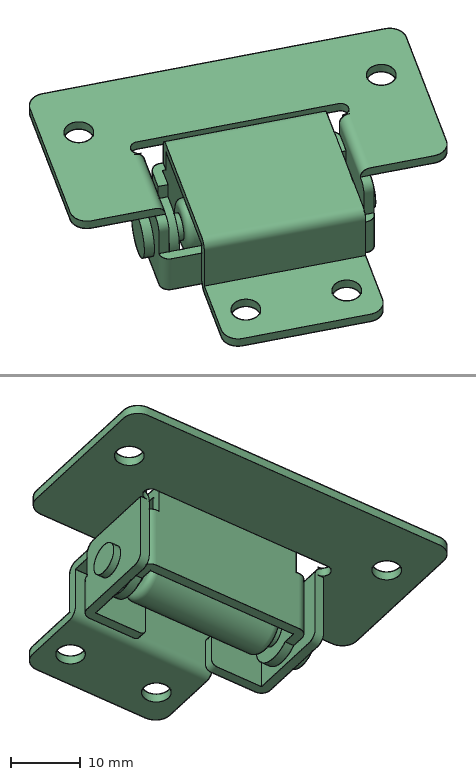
import cadquery as cq
import math

SHEET = 1.5
BEND = SHEET
PLATE_CORNER = 2.5
SCREW_HOLE = 4.25
PIN_X, PIN_Z = 23.05, 4.8
PIN_DIAMETER = 4.0

PLATE_LENGTH, PLATE_WIDTH = 27.0, 56.0
PLATE_TOP = 13.35
PLATE_BOTTOM = PLATE_TOP - SHEET
PLATE_HOLE_X, PLATE_HOLE_Y = 9.0, 22.5
LUG_OUTER_Y = 16.0
LUG_INNER_Y = LUG_OUTER_Y - SHEET
LUG_START_X, LUG_END_X = 15.5, 29.0
LUG_CORNER = 1.5
SLOT_START_X = 13.1
SLOT_HALF_LENGTH = 16.2
SLOT_WIDTH = LUG_START_X - SLOT_START_X
SLOT_CENTER_X = (SLOT_START_X + LUG_START_X) / 2
TAB_TOP = 6.2
TAB_END_Y = 5.75
TAB_CORNER = 1.0

LEAF_WIDTH = 24.0
LEAF_END_X = 51.0
LEAF_TOP = 16.8
LEAF_WALL_X = 16.6
STEP_X = 39.2
FLANGE_TOP = 8.3
LEAF_HOLE_X, LEAF_HOLE_Y = 45.4, 7.5
EAR_OUTER_Y = 14.0
EAR_RADIUS = 4.45
LEAF_BOTTOM = 1.4
EAR_TOP = 11.7
EAR_STEP_X = 21.1
EAR_ROUND_START_X = PIN_X - math.sqrt(EAR_RADIUS**2 - (PIN_Z - LEAF_BOTTOM) ** 2)

HEAD_DIAMETER, HEAD_THICKNESS = 7.0, 1.5
TAIL_DIAMETER, TAIL_THICKNESS = 5.0, 1.2
SLEEVE_DIAMETER = 8.0
SLEEVE_LENGTH = 22.4
SLEEVE_ROUND = 1.0

ALL = 100.0


def slab(start_x, end_x, half_width, bottom, top):
    """Block centred on Y = 0."""
    size = (end_x - start_x, 2 * half_width, top - bottom)
    return cq.Workplane("XY").box(*size, centered=(False, True, False)).translate((start_x, 0, bottom))


def disc(diameter, start_y, end_y):
    """Cylinder on the hinge axis."""
    face = cq.Workplane("XZ", origin=(PIN_X, start_y, PIN_Z))
    return face.circle(diameter / 2).extrude(start_y - end_y)


def screw_holes(x, y):
    """Pair of vertical hole cutters at +/- y."""
    return cq.Workplane("XY").pushPoints([(x, y), (x, -y)]).circle(SCREW_HOLE / 2).extrude(ALL)


def make_plate():
    sheet = slab(0, PLATE_LENGTH, PLATE_WIDTH / 2, PLATE_BOTTOM, PLATE_TOP)
    sheet = sheet.edges("|Z").fillet(PLATE_CORNER)
    slot = cq.Workplane("XY").center(SLOT_CENTER_X, 0)
    slot = slot.slot2D(2 * SLOT_HALF_LENGTH, SLOT_WIDTH, 90).extrude(ALL)
    sheet = sheet.cut(slab(LUG_START_X, ALL, LUG_OUTER_Y, 0, ALL)).cut(slot)

    lugs = slab(LUG_START_X, LUG_END_X + SHEET, LUG_OUTER_Y, 0, PLATE_TOP)
    lugs = lugs.edges("|Z and >X").fillet(BEND)
    lugs = lugs.cut(slab(0, LUG_END_X, LUG_INNER_Y, 0, ALL))

    opening = slab(0, ALL, LUG_OUTER_Y, PLATE_BOTTOM, ALL)
    for side in (1, -1):
        bend = cq.Workplane("YZ").center(side * LUG_OUTER_Y, PLATE_BOTTOM)
        bend = bend.circle(BEND).extrude(PLATE_LENGTH)
        opening = opening.cut(bend)
    lugs = lugs.cut(opening)

    side_shape = slab(LUG_START_X, LUG_END_X, ALL, 0, PLATE_BOTTOM)
    side_shape = side_shape.edges("|Y").edges("(<X and <Z) or (>X and >Z)").fillet(LUG_CORNER)
    over_bend = slab(LUG_START_X, PLATE_LENGTH, ALL, PLATE_BOTTOM - LUG_CORNER, PLATE_TOP)
    envelope = side_shape.union(over_bend)

    for side in (1, -1):
        tab = slab(LUG_END_X, LUG_END_X + SHEET, LUG_OUTER_Y, 0, TAB_TOP)
        tab = tab.translate((0, side * (TAB_END_Y + LUG_OUTER_Y), 0))
        inner_end = "<Y" if side > 0 else ">Y"
        envelope = envelope.union(tab.faces(inner_end).edges("|X").fillet(TAB_CORNER))
    lugs = lugs.intersect(envelope)

    plate = sheet.union(lugs)
    plate = plate.cut(screw_holes(PLATE_HOLE_X, PLATE_HOLE_Y))
    return plate.cut(disc(PIN_DIAMETER, -ALL, ALL))


def make_leaf():
    flange_bottom = FLANGE_TOP - SHEET
    strap = slab(LEAF_WALL_X, STEP_X, LEAF_WIDTH / 2, LEAF_BOTTOM, LEAF_TOP)
    strap = strap.edges("|Y and >Z").fillet(BEND)
    inside = slab(LEAF_WALL_X + SHEET, STEP_X - SHEET, LEAF_WIDTH / 2, 0, LEAF_TOP - SHEET)
    under_flange = slab(STEP_X - SHEET, STEP_X, LEAF_WIDTH / 2, 0, flange_bottom)
    strap = strap.cut(inside).cut(under_flange)
    flange = slab(STEP_X - SHEET, LEAF_END_X, LEAF_WIDTH / 2, flange_bottom, FLANGE_TOP)
    flange = flange.edges("|Z and >X").fillet(PLATE_CORNER)
    strap = strap.union(flange)
    bend_edge = cq.selectors.NearestToPointSelector((STEP_X - SHEET, 0, flange_bottom))
    strap = strap.edges("|Y").edges(bend_edge).fillet(BEND)

    ears = slab(LEAF_WALL_X, PIN_X + EAR_RADIUS, EAR_OUTER_Y, PIN_Z - EAR_RADIUS, EAR_TOP)
    ears = ears.edges("|Z and <X").fillet(BEND)
    ears = ears.cut(slab(LEAF_WALL_X + SHEET, ALL, EAR_OUTER_Y - SHEET, 0, ALL))
    outline = (
        cq.Workplane("XZ", origin=(0, EAR_OUTER_Y, 0))
        .moveTo(LEAF_WALL_X, EAR_TOP)
        .lineTo(EAR_STEP_X, EAR_TOP)
        .lineTo(EAR_STEP_X, PIN_Z + EAR_RADIUS)
        .lineTo(PIN_X, PIN_Z + EAR_RADIUS)
        .radiusArc((PIN_X + EAR_RADIUS, PIN_Z), EAR_RADIUS)
        .radiusArc((PIN_X, PIN_Z - EAR_RADIUS), EAR_RADIUS)
        .radiusArc((EAR_ROUND_START_X, LEAF_BOTTOM), EAR_RADIUS)
        .lineTo(LEAF_WALL_X, LEAF_BOTTOM)
        .close()
        .extrude(2 * EAR_OUTER_Y)
    )
    ears = ears.intersect(outline)
    leaf = strap.union(ears).cut(screw_holes(LEAF_HOLE_X, LEAF_HOLE_Y))
    return leaf.cut(disc(PIN_DIAMETER, -ALL, ALL))


def make_pin():
    shaft = disc(PIN_DIAMETER, -LUG_OUTER_Y, LUG_OUTER_Y)
    head = disc(HEAD_DIAMETER, -LUG_OUTER_Y - HEAD_THICKNESS, -LUG_OUTER_Y)
    tail = disc(TAIL_DIAMETER, LUG_OUTER_Y, LUG_OUTER_Y + TAIL_THICKNESS)
    return shaft.union(head).union(tail)


def make_sleeve():
    sleeve = disc(SLEEVE_DIAMETER, -SLEEVE_LENGTH / 2, SLEEVE_LENGTH / 2)
    sleeve = sleeve.edges().fillet(SLEEVE_ROUND)
    return sleeve.cut(disc(PIN_DIAMETER, -ALL, ALL))


plate = make_plate()
leaf = make_leaf()
pin = make_pin()
sleeve = make_sleeve()

result = cq.Compound.makeCompound([body.solids().val() for body in (plate, leaf, pin, sleeve)])